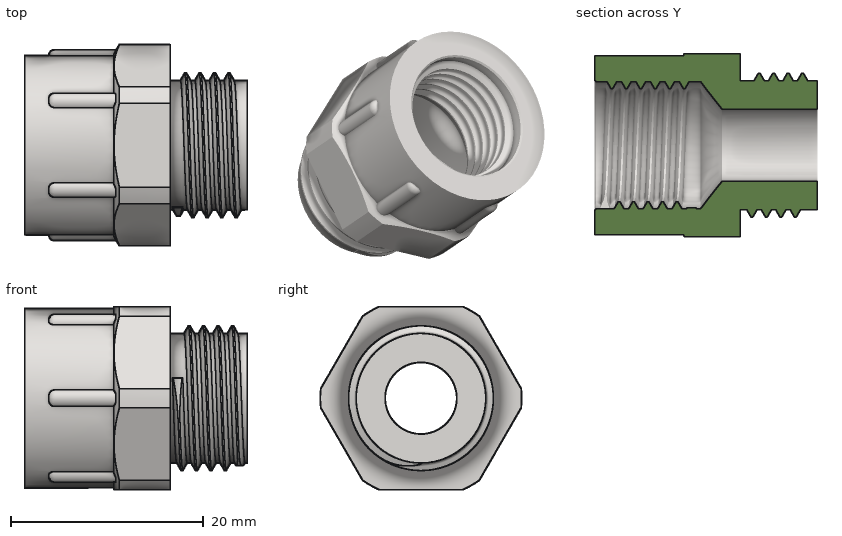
import cadquery as cq
import math

TOTAL_LENGTH = 23.1
SPIGOT_LENGTH = 8.0
SPIGOT_ROOT_RADIUS = 13.44 / 2
SPIGOT_CREST_RADIUS = 15.0 / 2

SOCKET_RADIUS = 18.64 / 2
SOCKET_LENGTH = 9.22
COLLAR_END = TOTAL_LENGTH - SPIGOT_LENGTH

HEX_SIDES = 6
HEX_ACROSS_FLATS = 19.0
HEX_CORNER_RADIUS = 20.89 / 2
HEX_CHAMFER_START_RADIUS = 9.4
HEX_CHAMFER_ANGLE = 30.0
HEX_TURN = 30.0

RIB_COUNT = HEX_SIDES
RIB_RADIUS = 0.9
RIB_AXIS_RADIUS = 9.0
RIB_START = 2.5
RIB_END = 9.45
RIB_TIP_ROUNDING = 0.6

BORE_RADIUS = 13.1 / 2
BORE_MOUTH_RADIUS = 13.44 / 2
BORE_DEPTH = 11.0
BORE_CREST_RADIUS = 11.65 / 2
PASSAGE_RADIUS = 7.4 / 2
THROAT_CONE_ANGLE = 52.0

PITCH = 1.5
THREAD_PROFILE_ANGLE = 60.0
FLANK_SLOPE = math.tan(math.radians(THREAD_PROFILE_ANGLE / 2))
CREST_WIDTH = 0.18
THREAD_OVERLAP = 0.1
POINTS_PER_TURN = 36

OUTER_THREAD_START = 15.86
OUTER_THREAD_START_ANGLE = 162.0
OUTER_THREAD_SWEEP = 4 * 360.0 + 108.0
OUTER_THREAD_RAMP = 40.0
OUTER_THREAD_END_HEIGHT = 0.15

INNER_THREAD_START = 1.05
INNER_THREAD_START_ANGLE = 272.0
INNER_THREAD_SWEEP = 6 * 360.0
INNER_THREAD_RAMP = 28.0
INNER_THREAD_END_HEIGHT = 0.02


def cylinder(radius, start, end):
    return cq.Workplane("YZ", origin=(start, 0, 0)).circle(radius).extrude(end - start)


def revolve_about_x(profile):
    return profile.close().revolve(360, (0, 0, 0), (1, 0, 0))


def thread_ridge(root, crest, start_x, start_angle, sweep, ramp, end_height):
    """Helical ridge from root to crest radius; end_height is the part of full height left at each end."""
    outward = math.copysign(1, crest - root)
    full_height = abs(crest - root)
    steps = round(sweep / 360 * POINTS_PER_TURN)

    def crest_height(swept):
        distance_from_end = min(swept, sweep - swept)
        missing = max(0, 1 - distance_from_end / ramp)
        return full_height * (1 - (1 - end_height) * missing**2)

    def edge_curve(side, on_crest):
        points = []
        for step in range(steps + 1):
            swept = sweep * step / steps
            height = crest_height(swept) if on_crest else -THREAD_OVERLAP
            half_width = CREST_WIDTH / 2 + (full_height - height) * FLANK_SLOPE
            radius = root + outward * height
            angle = math.radians(start_angle + swept)
            x = start_x + PITCH * swept / 360 + side * half_width
            points.append(cq.Vector(x, radius * math.cos(angle), radius * math.sin(angle)))
        return cq.Edge.makeSpline(points)

    edges = [edge_curve(-1, False), edge_curve(-1, True), edge_curve(1, True), edge_curve(1, False)]
    faces = [cq.Face.makeRuledSurface(edges[i - 1], edges[i]) for i in range(len(edges))]
    for end in (0, 1):
        corners = [edge.positionAt(end) for edge in edges]
        faces.append(cq.Face.makeFromWires(cq.Wire.makePolygon(corners, close=True)))
    return cq.Workplane(cq.Solid.makeSolid(cq.Shell.makeShell(faces)))


def hexagon_collar():
    """Hexagon with corners trimmed to a cylinder and a conical chamfer facing the socket."""
    flats = (
        cq.Workplane("YZ", origin=(SOCKET_LENGTH, 0, 0))
        .polygon(HEX_SIDES, HEX_ACROSS_FLATS, circumscribed=True)
        .extrude(COLLAR_END - SOCKET_LENGTH)
        .rotate((0, 0, 0), (1, 0, 0), HEX_TURN)
    )
    chamfer_rise = HEX_CORNER_RADIUS - HEX_CHAMFER_START_RADIUS
    chamfer_length = chamfer_rise * math.tan(math.radians(HEX_CHAMFER_ANGLE))
    envelope = revolve_about_x(
        cq.Workplane("XY")
        .moveTo(SOCKET_LENGTH, 0)
        .lineTo(SOCKET_LENGTH, HEX_CHAMFER_START_RADIUS)
        .lineTo(SOCKET_LENGTH + chamfer_length, HEX_CORNER_RADIUS)
        .lineTo(COLLAR_END, HEX_CORNER_RADIUS)
        .lineTo(COLLAR_END, 0)
    )
    return flats.intersect(envelope)


def grip_rib(angle):
    """Round-tipped bar partly sunk into the socket wall and running into the collar."""
    rib = (
        cylinder(RIB_RADIUS, RIB_START, RIB_END)
        .faces("<X")
        .edges()
        .fillet(RIB_TIP_ROUNDING)
        .translate((0, RIB_AXIS_RADIUS, 0))
    )
    return rib.rotate((0, 0, 0), (1, 0, 0), angle)


def bore():
    """Socket bore with a chamfered mouth, a conical throat and the passage through the spigot."""
    mouth_chamfer = BORE_MOUTH_RADIUS - BORE_RADIUS
    throat_length = (BORE_RADIUS - PASSAGE_RADIUS) / math.tan(math.radians(THROAT_CONE_ANGLE))
    return revolve_about_x(
        cq.Workplane("XY")
        .lineTo(0, BORE_MOUTH_RADIUS)
        .lineTo(mouth_chamfer, BORE_RADIUS)
        .lineTo(BORE_DEPTH, BORE_RADIUS)
        .lineTo(BORE_DEPTH + throat_length, PASSAGE_RADIUS)
        .lineTo(TOTAL_LENGTH, PASSAGE_RADIUS)
        .lineTo(TOTAL_LENGTH, 0)
    )


body = cylinder(SOCKET_RADIUS, 0, COLLAR_END).union(hexagon_collar())
for index in range(RIB_COUNT):
    body = body.union(grip_rib(index * 360 / RIB_COUNT))
body = body.union(cylinder(SPIGOT_ROOT_RADIUS, COLLAR_END, TOTAL_LENGTH))
body = body.cut(bore())
outer_thread = thread_ridge(
    SPIGOT_ROOT_RADIUS,
    SPIGOT_CREST_RADIUS,
    OUTER_THREAD_START,
    OUTER_THREAD_START_ANGLE,
    OUTER_THREAD_SWEEP,
    OUTER_THREAD_RAMP,
    OUTER_THREAD_END_HEIGHT,
)
inner_thread = thread_ridge(
    BORE_RADIUS,
    BORE_CREST_RADIUS,
    INNER_THREAD_START,
    INNER_THREAD_START_ANGLE,
    INNER_THREAD_SWEEP,
    INNER_THREAD_RAMP,
    INNER_THREAD_END_HEIGHT,
)
result = body.union(outer_thread).union(inner_thread)